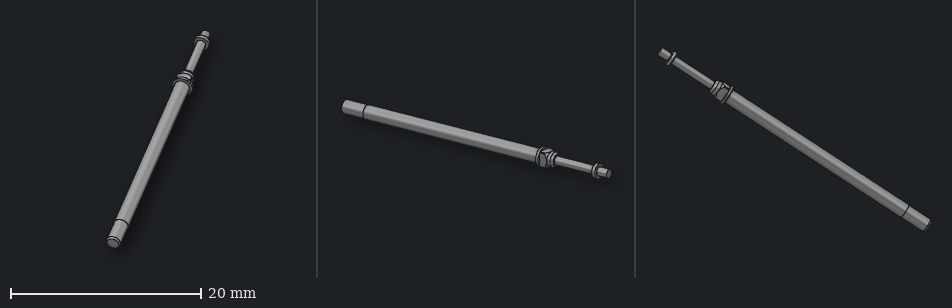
import cadquery as cq

TOTAL_LENGTH = 34.25

ROD_DIAMETER = 1.0
BEAD_DIAMETER = 1.7
BEAD_START = 1.27
BEAD_LENGTH = 0.4

HEAD_DIAMETER = 1.7
HEAD_START = 6.75
HEAD_TAPER_LENGTH = 0.3
HEAD_TAPER_DEPTH = 0.17
SQUARE_START = 7.45
SQUARE_SIDE = HEAD_DIAMETER

FLANGE_DIAMETER = 2.3
FLANGE_START = 8.4
FLANGE_LENGTH = 0.3

BARREL_DIAMETER = 1.65
TAIL_START = 31.25
TAIL_DIAMETER = 1.58
TAIL_CHAMFER_LENGTH = 0.25
TAIL_CHAMFER_DEPTH = 0.15


def frustum(start, end, start_diameter, end_diameter):
    """Coaxial cylinder or cone between two distances from the plunger tip."""
    profile = [
        (0, -start),
        (start_diameter / 2, -start),
        (end_diameter / 2, -end),
        (0, -end),
    ]
    return cq.Workplane("XY").polyline(profile).close().revolve(360, (0, 0), (0, 1))


def cylinder(start, end, diameter):
    return frustum(start, end, diameter, diameter)


def make_plunger():
    rod = cylinder(0, HEAD_START, ROD_DIAMETER)
    bead = cylinder(BEAD_START, BEAD_START + BEAD_LENGTH, BEAD_DIAMETER)
    return rod.union(bead)


def make_head():
    taper_end = HEAD_START + HEAD_TAPER_LENGTH
    taper = frustum(HEAD_START, taper_end, HEAD_DIAMETER - 2 * HEAD_TAPER_DEPTH, HEAD_DIAMETER)
    return taper.union(cylinder(taper_end, SQUARE_START, HEAD_DIAMETER))


def make_square():
    """Four flats on a blank of flange diameter whose front edge is a 45 degree cone."""
    cone_end = SQUARE_START + (FLANGE_DIAMETER - HEAD_DIAMETER) / 2
    blank = frustum(SQUARE_START, cone_end, HEAD_DIAMETER, FLANGE_DIAMETER)
    blank = blank.union(cylinder(cone_end, FLANGE_START, FLANGE_DIAMETER))
    length = FLANGE_START - SQUARE_START
    flats = cq.Workplane("XY").box(SQUARE_SIDE, length, SQUARE_SIDE)
    return blank.intersect(flats.translate((0, -SQUARE_START - length / 2, 0)))


def make_barrel():
    flange_end = FLANGE_START + FLANGE_LENGTH
    chamfer_start = TOTAL_LENGTH - TAIL_CHAMFER_LENGTH
    end_diameter = TAIL_DIAMETER - 2 * TAIL_CHAMFER_DEPTH
    flange = cylinder(FLANGE_START, flange_end, FLANGE_DIAMETER)
    tube = cylinder(flange_end, TAIL_START, BARREL_DIAMETER)
    tail = cylinder(TAIL_START, chamfer_start, TAIL_DIAMETER)
    tip = frustum(chamfer_start, TOTAL_LENGTH, TAIL_DIAMETER, end_diameter)
    return flange.union(tube).union(tail).union(tip)


result = make_plunger().union(make_head()).union(make_square()).union(make_barrel())